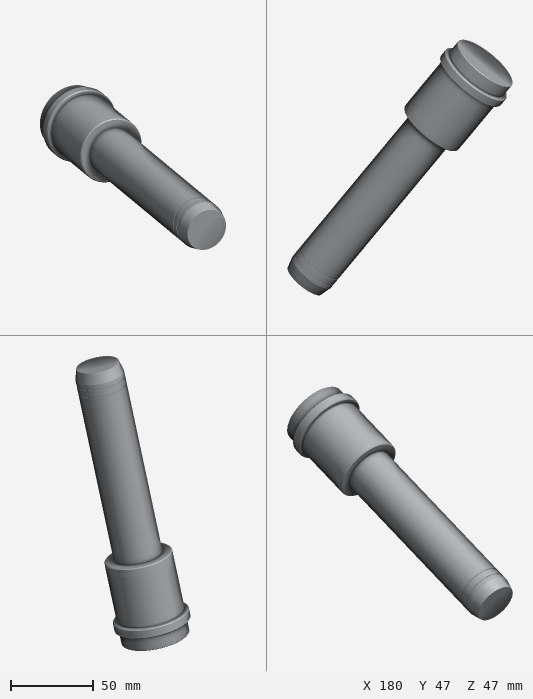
import cadquery as cq
import math

total_length = 180.0
head_diameter = 42.0
collar_diameter = 47.0
shank_diameter = 30.0

front_neck_start = 8.0
collar_start = 9.0
collar_end = 15.0
rear_neck_end = 16.0
lead_in_start = 49.0
head_end = 54.0
first_groove_start = 164.5
second_groove_start = 169.4
tip_start = 173.0

neck_depth = 0.5
collar_chamfer = 0.5
face_chamfer = 0.4
relief_width = 0.5
relief_depth = 0.4
lead_in_depth = 0.09
head_chamfer = 0.5
groove_width = 1.0
groove_depth = 0.4
tip_angle = 15.0

head_radius = head_diameter / 2
collar_radius = collar_diameter / 2
shank_radius = shank_diameter / 2
neck_radius = head_radius - neck_depth
lead_in_radius = head_radius - lead_in_depth
tip_length = total_length - tip_start
tip_radius = shank_radius - tip_length * math.tan(math.radians(tip_angle))


def cylinder(start, end, radius):
    """Solid cylinder on the X axis between two positions."""
    return cq.Workplane("YZ").workplane(offset=start).circle(radius).extrude(end - start)


def ring_groove(start, end, outer_radius, floor_radius):
    """Ring of material to remove around the X axis."""
    clearance = 1.8
    ring = cylinder(start, end, outer_radius + clearance)
    core = cylinder(start, end, floor_radius)
    return ring.cut(core)


def revolved(points):
    """Turn a closed half-profile of (x, radius) points about the X axis."""
    return cq.Workplane("XY").polyline(points).close().revolve(360, (0, 0, 0), (1, 0, 0))


head = revolved([
    (0, 0),
    (0, head_radius - face_chamfer),
    (face_chamfer, head_radius),
    (lead_in_start, head_radius),
    (head_end - head_chamfer, lead_in_radius),
    (head_end, lead_in_radius - head_chamfer),
    (head_end, 0),
])

shank = revolved([
    (0, 0),
    (0, shank_radius),
    (tip_start, shank_radius),
    (total_length, tip_radius),
    (total_length, 0),
])

for start, end in ((front_neck_start, collar_start), (collar_end, rear_neck_end)):
    head = head.cut(ring_groove(start, end, head_radius, neck_radius))

collar = cylinder(collar_start, collar_end, collar_radius).edges().chamfer(collar_chamfer)

result = head.union(shank).union(collar)

groove_floor_radius = shank_radius - groove_depth
for start in (first_groove_start, second_groove_start):
    result = result.cut(ring_groove(start, start + groove_width, shank_radius, groove_floor_radius))

relief_floor_radius = shank_radius - relief_depth
result = result.cut(ring_groove(head_end, head_end + relief_width, shank_radius, relief_floor_radius))